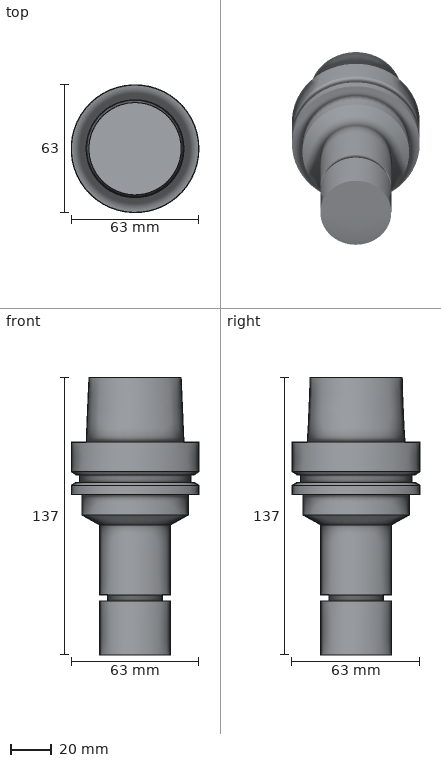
import cadquery as cq

NUT_TOP = 26.7
NECK_TOP = 29.7
SHANK_TOP = 64.3
CONE_TOP = 69.2
COLLAR_TOP = 79.2
LOWER_RIM_TOP = 83.7
GROOVE_BOTTOM = 85.2
GROOVE_TOP = 88.9
UPPER_RIM_BOTTOM = 90.5
FLANGE_TOP = 105.1
TOTAL_HEIGHT = 137.0

SHANK_DIAMETER = 35.0
NUT_DIAMETER = SHANK_DIAMETER
NECK_DIAMETER = 27.0
COLLAR_DIAMETER = 52.6
FLANGE_DIAMETER = 63.0
GROOVE_DIAMETER = 55.0
RIM_INNER_DIAMETER = 58.2
TAPER_BASE_DIAMETER = 48.2
TAPER_TOP_DIAMETER = 45.5


def make_nut():
    """Plain clamping nut below the neck of the holder."""
    return cq.Workplane("XY").circle(NUT_DIAMETER / 2).extrude(NUT_TOP)


def make_holder():
    """Holder turned about Z: neck, shank, grooved flange and taper."""
    profile = [
        (0, NUT_TOP),
        (NECK_DIAMETER / 2, NUT_TOP),
        (NECK_DIAMETER / 2, NECK_TOP),
        (SHANK_DIAMETER / 2, NECK_TOP),
        (SHANK_DIAMETER / 2, SHANK_TOP),
        (COLLAR_DIAMETER / 2, CONE_TOP),
        (COLLAR_DIAMETER / 2, COLLAR_TOP),
        (FLANGE_DIAMETER / 2, COLLAR_TOP),
        (FLANGE_DIAMETER / 2, LOWER_RIM_TOP),
        (RIM_INNER_DIAMETER / 2, GROOVE_BOTTOM),
        (GROOVE_DIAMETER / 2, GROOVE_BOTTOM),
        (GROOVE_DIAMETER / 2, GROOVE_TOP),
        (RIM_INNER_DIAMETER / 2, GROOVE_TOP),
        (FLANGE_DIAMETER / 2, UPPER_RIM_BOTTOM),
        (FLANGE_DIAMETER / 2, FLANGE_TOP),
        (TAPER_BASE_DIAMETER / 2, FLANGE_TOP),
        (TAPER_TOP_DIAMETER / 2, TOTAL_HEIGHT),
        (0, TOTAL_HEIGHT),
    ]
    return cq.Workplane("XZ").polyline(profile).close().revolve(360, (0, 0), (0, 1))


nut = make_nut()
holder = make_holder()

result = cq.Compound.makeCompound([nut.val(), holder.val()])